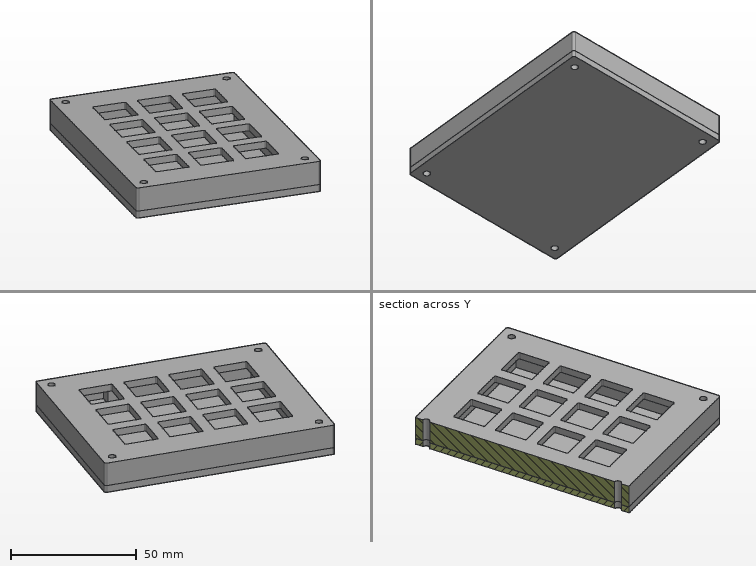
import cadquery as cq

LENGTH = 97.8
WIDTH = 78.4
HEIGHT = 13.0
CORNER_RADIUS = 1.0

BASE_THICKNESS = 3.0
HOUSING_HEIGHT = HEIGHT - BASE_THICKNESS
KEY_PLATE_THICKNESS = 3.0
CAVITY_DEPTH = HOUSING_HEIGHT - KEY_PLATE_THICKNESS

SCREW_HOLE_DIAMETER = 2.9
SCREW_HOLE_INSET = 5.0

KEY_COLUMNS = 4
KEY_ROWS = 3
KEY_PITCH = 19.1
KEY_OPENING = 14.1
KEY_CORNER_RADIUS = 0.5
GRID_CENTER_X = 0.3
GRID_CENTER_Y = 0.06
GRID_LENGTH = (KEY_COLUMNS - 1) * KEY_PITCH + KEY_OPENING
GRID_WIDTH = (KEY_ROWS - 1) * KEY_PITCH + KEY_OPENING

CAVITY_MARGIN = 2.9
CAVITY_LEFT_X = GRID_CENTER_X - GRID_LENGTH / 2 - CAVITY_MARGIN
CAVITY_RIGHT_X = GRID_CENTER_X + GRID_LENGTH / 2 + CAVITY_MARGIN
CAVITY_FRONT_Y = GRID_CENTER_Y - GRID_WIDTH / 2 - CAVITY_MARGIN
CAVITY_BACK_Y = GRID_CENTER_Y + GRID_WIDTH / 2 + CAVITY_MARGIN

BAY_RIGHT_X = -21.9
BAY_DEPTH = 4.9
BAY_BACK_Y = CAVITY_BACK_Y + BAY_DEPTH


def rounded_plate(thickness, bottom_z):
    """Rounded plate of the full outline, with the four corner screw holes through it."""
    plate = (
        cq.Workplane("XY", origin=(0, 0, bottom_z))
        .rect(LENGTH, WIDTH)
        .extrude(thickness)
        .edges("|Z")
        .fillet(CORNER_RADIUS)
    )
    hole_spacing_x = LENGTH - 2 * SCREW_HOLE_INSET
    hole_spacing_y = WIDTH - 2 * SCREW_HOLE_INSET
    return (
        plate.faces(">Z")
        .workplane()
        .rect(hole_spacing_x, hole_spacing_y, forConstruction=True)
        .vertices()
        .hole(SCREW_HOLE_DIAMETER)
    )


def key_openings():
    """Cutters for the key openings, from the cavity ceiling to the top face."""
    return (
        cq.Workplane("XY", origin=(GRID_CENTER_X, GRID_CENTER_Y, HEIGHT - KEY_PLATE_THICKNESS))
        .rarray(KEY_PITCH, KEY_PITCH, KEY_COLUMNS, KEY_ROWS)
        .rect(KEY_OPENING, KEY_OPENING)
        .extrude(KEY_PLATE_THICKNESS)
        .edges("|Z")
        .fillet(KEY_CORNER_RADIUS)
    )


def cavity():
    """Cutter for the cavity and its side bay, open at the bottom of the housing."""
    outline = [
        (CAVITY_LEFT_X, CAVITY_FRONT_Y),
        (CAVITY_RIGHT_X, CAVITY_FRONT_Y),
        (CAVITY_RIGHT_X, CAVITY_BACK_Y),
        (BAY_RIGHT_X, CAVITY_BACK_Y),
        (BAY_RIGHT_X, BAY_BACK_Y),
        (CAVITY_LEFT_X, BAY_BACK_Y),
    ]
    return cq.Workplane("XY", origin=(0, 0, BASE_THICKNESS)).polyline(outline).close().extrude(CAVITY_DEPTH)


base = rounded_plate(BASE_THICKNESS, 0)

housing = rounded_plate(HOUSING_HEIGHT, BASE_THICKNESS).cut(cavity()).cut(key_openings())

result = cq.Compound.makeCompound([base.solids().val(), housing.solids().val()])